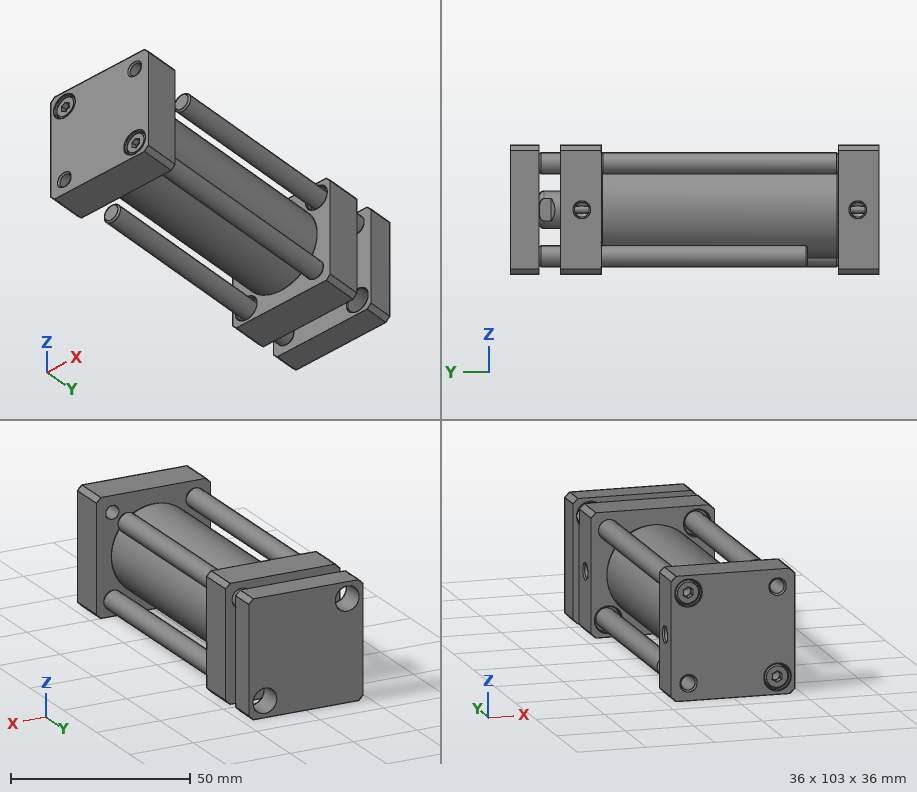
import cadquery as cq
import math

LENGTH = 103.0
BLOCK_SIDE = 36.0
CORNER_CHAMFER = 1.4
BLOCK_LENGTH = 11.4
PLATE_LENGTH = 8.0
PLATE_GAP = 6.0
ROD_OFFSET = 13.0

TUBE_DIAMETER = 27.0
TUBE_END_CHAMFER = 0.3
CORNER_ROD_DIAMETER = 6.0
CORNER_ROD_CHAMFER = 0.5
GUIDE_END_GAP = 8.5

BOLT_HEAD_DIAMETER = 7.0
BOLT_HEAD_HEIGHT = 4.0
BOLT_HEAD_CHAMFER = 0.4
BOLT_HEAD_RECESS = 0.4
BOLT_SHANK_DIAMETER = 4.0
SOCKET_FLATS = 2.8
SOCKET_DEPTH = 2.0
SOCKET_TIP_DEPTH = 0.8

CLEARANCE_DIAMETER = 7.5
CLEARANCE_MOUTH_DIAMETER = 8.0
GUIDE_SEAT_DEPTH = 2.1

DRILL_DIAMETER = 4.1
PORT_MOUTH_DIAMETER = 4.9
MOUNTING_MOUTH_DIAMETER = 5.0
PORT_DISTANCE = 6.0
PORT_DEPTH = 6.0
PORT_BAR_DIAMETER = 2.0
DRILL_TIP_ANGLE = 118.0

PISTON_ROD_DIAMETER = 10.5
PISTON_ROD_FILLET = 1.4
FLAT_WIDTH = 8.4
FLAT_LENGTH = 3.4

CAP_FRONT = -LENGTH / 2
CAP_BACK = CAP_FRONT + BLOCK_LENGTH
PLATE_BACK = LENGTH / 2
PLATE_FRONT = PLATE_BACK - PLATE_LENGTH
HEAD_BACK = PLATE_FRONT - PLATE_GAP
HEAD_FRONT = HEAD_BACK - BLOCK_LENGTH
GUIDE_END = CAP_BACK + GUIDE_END_GAP
BOLT_HEAD_FRONT = CAP_FRONT + BOLT_HEAD_RECESS
BOLT_HEAD_BACK = BOLT_HEAD_FRONT + BOLT_HEAD_HEIGHT

TIE_PLACES = [(-ROD_OFFSET, ROD_OFFSET), (ROD_OFFSET, -ROD_OFFSET)]
GUIDE_PLACES = [(ROD_OFFSET, ROD_OFFSET), (-ROD_OFFSET, -ROD_OFFSET)]


def bar(diameter, start, end, place=(0, 0)):
    """Round bar along Y from start to end, with its axis at place (X, Z)."""
    sketch = cq.Workplane("XZ", origin=(place[0], start, place[1]))
    return sketch.circle(diameter / 2).extrude(start - end)


def chamfered_bar(diameter, start, end, chamfer, place=(0, 0)):
    return bar(diameter, start, end, place).faces("<Y or >Y").chamfer(chamfer)


def block(start, end):
    """Square block along Y with chamfered corners."""
    body = cq.Workplane("XY").box(BLOCK_SIDE, end - start, BLOCK_SIDE)
    return body.edges("|Y").chamfer(CORNER_CHAMFER).translate((0, (start + end) / 2, 0))


def chamfered_hole(diameter, mouth_diameter, start, end, place):
    """Cutter for a hole along Y whose mouth at start has a 45 degree chamfer."""
    radius = diameter / 2
    mouth_radius = mouth_diameter / 2
    profile = (
        cq.Workplane("XY")
        .moveTo(0, start)
        .lineTo(mouth_radius, start)
        .lineTo(radius, start + mouth_radius - radius)
        .lineTo(radius, end)
        .lineTo(0, end)
        .close()
    )
    return profile.revolve(360, (0, 0, 0), (0, 1, 0)).translate((place[0], 0, place[1]))


def port(y):
    """Cutter for a drilled port from the -X side that leaves a bar along Y across its bottom."""
    face = -BLOCK_SIDE / 2
    radius = DRILL_DIAMETER / 2
    mouth_radius = PORT_MOUTH_DIAMETER / 2
    bottom = face + PORT_DEPTH
    tip_depth = radius / math.tan(math.radians(DRILL_TIP_ANGLE / 2))
    drilling = (
        cq.Workplane("XY")
        .moveTo(face, 0)
        .lineTo(face, mouth_radius)
        .lineTo(face + mouth_radius - radius, radius)
        .lineTo(bottom, radius)
        .lineTo(bottom + tip_depth, 0)
        .close()
        .revolve(360, (0, 0, 0), (1, 0, 0))
        .translate((0, y, 0))
    )
    return drilling.cut(bar(PORT_BAR_DIAMETER, y - DRILL_DIAMETER, y + DRILL_DIAMETER, (bottom, 0)))


def make_cap():
    cap = block(CAP_FRONT, CAP_BACK).cut(port(CAP_FRONT + PORT_DISTANCE))
    for place in TIE_PLACES:
        counterbore = chamfered_hole(
            CLEARANCE_DIAMETER, CLEARANCE_MOUTH_DIAMETER, CAP_FRONT, BOLT_HEAD_BACK, place
        )
        cap = cap.cut(counterbore).cut(bar(BOLT_SHANK_DIAMETER, CAP_FRONT, CAP_BACK, place))
    for place in GUIDE_PLACES:
        cap = cap.cut(
            chamfered_hole(DRILL_DIAMETER, MOUNTING_MOUTH_DIAMETER, CAP_FRONT, CAP_BACK, place)
        )
    return cap


def make_head():
    head = block(HEAD_FRONT, HEAD_BACK).cut(port(HEAD_BACK - PORT_DISTANCE))
    head = head.cut(bar(PISTON_ROD_DIAMETER, HEAD_FRONT, HEAD_BACK))
    seat_end = HEAD_FRONT + GUIDE_SEAT_DEPTH
    for place in GUIDE_PLACES:
        seat = chamfered_hole(CLEARANCE_DIAMETER, CLEARANCE_MOUTH_DIAMETER, HEAD_FRONT, seat_end, place)
        head = head.cut(seat).cut(bar(CORNER_ROD_DIAMETER, HEAD_FRONT, HEAD_BACK, place))
    return head


def make_plate():
    plate = block(PLATE_FRONT, PLATE_BACK)
    for place in TIE_PLACES:
        plate = plate.cut(
            chamfered_hole(CLEARANCE_DIAMETER, CLEARANCE_MOUTH_DIAMETER, PLATE_FRONT, PLATE_BACK, place)
        )
    return plate


def make_tube():
    return chamfered_bar(TUBE_DIAMETER, CAP_BACK, HEAD_FRONT, TUBE_END_CHAMFER)


def make_piston_rod():
    radius = PISTON_ROD_DIAMETER / 2
    rod = bar(PISTON_ROD_DIAMETER, HEAD_FRONT, PLATE_FRONT)
    rod = rod.faces(">Y").edges().fillet(PISTON_ROD_FILLET)
    flat = FLAT_WIDTH / 2
    flat_end = PLATE_FRONT - FLAT_LENGTH
    for side in (-1, 1):
        beside_flat = (
            cq.Workplane("XY", origin=(0, 0, -radius))
            .moveTo(side * flat, PLATE_FRONT)
            .lineTo(side * flat, flat_end)
            .lineTo(side * radius, flat_end - (radius - flat))
            .lineTo(side * radius, PLATE_FRONT)
            .close()
            .extrude(PISTON_ROD_DIAMETER)
        )
        rod = rod.cut(beside_flat)
    return rod


def make_tie_rod(place):
    rod = chamfered_bar(CORNER_ROD_DIAMETER, CAP_BACK, HEAD_FRONT, CORNER_ROD_CHAMFER, place)
    shank = bar(BOLT_SHANK_DIAMETER, BOLT_HEAD_BACK, CAP_BACK, place)
    bolt_head = bar(BOLT_HEAD_DIAMETER, BOLT_HEAD_FRONT, BOLT_HEAD_BACK, place)
    bolt_head = bolt_head.faces("<Y").chamfer(BOLT_HEAD_CHAMFER)
    return rod.union(shank).union(bolt_head).cut(hex_socket(place))


def hex_socket(place):
    """Cutter for a hexagonal socket with two flats parallel to Z and a conical bottom."""
    corner_diameter = SOCKET_FLATS / math.cos(math.radians(30))
    hexagon = (
        cq.Workplane("XZ")
        .polygon(6, corner_diameter)
        .extrude(-SOCKET_DEPTH)
        .rotate((0, 0, 0), (0, 1, 0), 30)
    )
    tip = cq.Solid.makeCone(
        SOCKET_FLATS / 2, 0, SOCKET_TIP_DEPTH, cq.Vector(0, SOCKET_DEPTH, 0), cq.Vector(0, 1, 0)
    )
    return hexagon.union(cq.Workplane(tip)).translate((place[0], BOLT_HEAD_FRONT, place[1]))


def make_guide_rod(place):
    return chamfered_bar(CORNER_ROD_DIAMETER, GUIDE_END, PLATE_FRONT, CORNER_ROD_CHAMFER, place)


cap = make_cap()
head = make_head()
plate = make_plate()
tube = make_tube()
piston_rod = make_piston_rod()
tie_rods = [make_tie_rod(place) for place in TIE_PLACES]
guide_rods = [make_guide_rod(place) for place in GUIDE_PLACES]

bodies = [cap, head, plate, tube, piston_rod, *tie_rods, *guide_rods]
result = cq.Compound.makeCompound([body.val() for body in bodies])